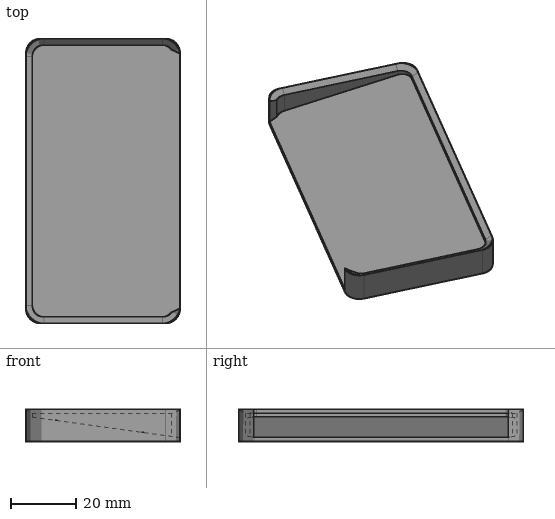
import cadquery as cq
import math

width = 47.4
length = 87.4
height = 10.0
outer_radius = 4.6

rim_width = 2.0
rim_drop = 1.2
inner_radius = 3.5
floor_high = 7.6
floor_low = 1.3

mouth_length = length - 2 * outer_radius
lip_depth = 2.9
lip_offset = 1.3

half_width = width / 2
inner_width = width - 2 * rim_width
inner_length = length - 2 * rim_width
rim_base = height - rim_drop
rim_angle = math.degrees(math.atan2(rim_width, rim_drop))


def rounded_block(x_size, y_size, z_size, radius):
    """Block standing on Z = 0 with rounded vertical edges."""
    block = cq.Workplane("XY").rect(x_size, y_size).extrude(z_size)
    return block.edges("|Z").fillet(radius)


def rim_cutter():
    """Flared cutter that slopes the top of the walls down to the inside."""
    profile = cq.Sketch().rect(inner_width, inner_length).vertices().fillet(inner_radius)
    plane = cq.Workplane("XY").workplane(offset=rim_base)
    return plane.placeSketch(profile).extrude(rim_drop, taper=-rim_angle)


def mouth_cutter():
    """Trapezoid that opens the +X wall between the corner lips."""
    outer_y = mouth_length / 2
    inner_y = outer_y + lip_offset
    inner_x = half_width - lip_depth
    outline = [
        (inner_x, -inner_y),
        (half_width, -outer_y),
        (half_width, outer_y),
        (inner_x, inner_y),
    ]
    return cq.Workplane("XY").polyline(outline).close().extrude(height)


def space_above_floor():
    """Wedge of space between the sloping floor and the top of the body."""
    outline = [
        (-half_width + rim_width, floor_high),
        (half_width, floor_low),
        (half_width, height),
        (-half_width + rim_width, height),
    ]
    return cq.Workplane("XZ").polyline(outline).close().extrude(length / 2, both=True)


body = rounded_block(width, length, height, outer_radius)
recess = rounded_block(inner_width, inner_length, height, inner_radius).union(mouth_cutter())
result = body.cut(recess.intersect(space_above_floor())).cut(rim_cutter())